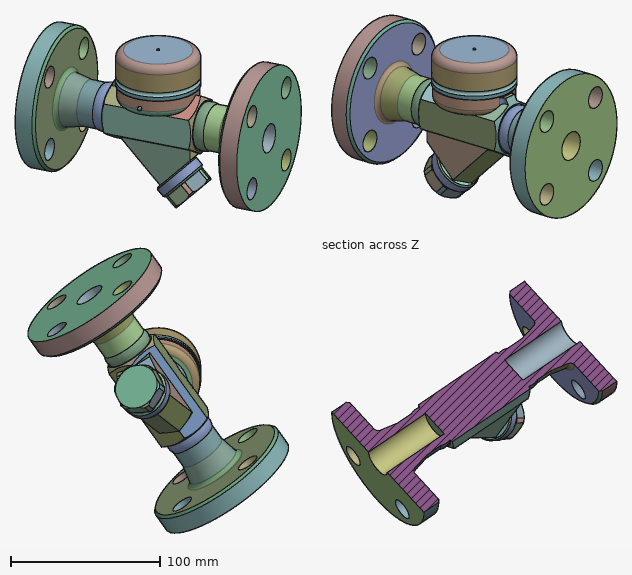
import cadquery as cq
import math

overall_length = 165.0
flange_dia = 100.0
flange_thickness = 14.4
flange_chamfer = 1.8
bolt_circle_dia = 74.9
bolt_hole_dia = 15.0
bolt_count = 4
pipe_dia = 32.0
bore_dia = 20.0

neck_fillet_dia = 43.5
neck_dia = 37.6
neck_fillet_length = 2.8
neck_cone_length = 12.4

collar_dia = 34.0
collar_length = 8.2
collar_end_x = 41.2

hex_sides = 6

block_flats = 37.0
block_length = 67.6
block_face_dia = 34.6
block_chamfer_angle = 30.0

cup_dia = 56.0
cup_round = 5.0
cup_round_top_z = 16.0
cup_foot_dia = 40.0
cup_foot_tip_z = 1.6
cup_foot_tip_dia = 29.2
ring_bottom_z = 24.0
ring_top_z = 26.9
cap_dia = 57.5
cap_bottom_z = 30.2
cap_groove_depth = 1.2
cap_round = 5.5
cap_top_z = 48.8

side_mark_dia = 3.0
side_mark_height = 17.5
side_mark_reach = 30.4
top_mark_dia = 2.0

tab_width = 9.5
tab_top_z = 22.8
tab_fillet = 3.0

slant_angle = math.radians(45.0)
slant_axis_offset = 17.7
boss_flats = 26.5
boss_start = -5.0
boss_end = 36.3
boss_outer_x = 30.0
plug_collar_dia = 34.0
plug_collar_length = 7.3
plug_entry_chamfer = 1.0
plug_relief_length = 1.5
plug_relief_dia = 31.0
plug_hex_flats = 30.0
plug_hex_corner_dia = 33.0
plug_hex_length = 9.9
plug_end_chamfer = 1.3

half_length = overall_length / 2
block_corner_dia = block_flats / math.cos(math.pi / hex_sides)
boss_corner_dia = boss_flats / math.cos(math.pi / hex_sides)
plug_hex_point_dia = plug_hex_flats / math.cos(math.pi / hex_sides)


def slant_point(along, across):
    """X and Z of a point given by its distances along the slant (down, to +X) and across it (up, to +X)."""
    cosine = math.cos(slant_angle)
    sine = math.sin(slant_angle)
    return along * cosine + across * sine, across * cosine - along * sine


def slanted_plane(distance):
    """Plane square to the slanted axis; its X lies in the XZ plane, its normal points down and to +X."""
    origin_x, origin_z = slant_point(distance, -slant_axis_offset)
    along_x, along_z = slant_point(1, 0)
    across_x, across_z = slant_point(0, 1)
    return cq.Plane(
        origin=(origin_x, 0, origin_z),
        xDir=(across_x, 0, across_z),
        normal=(along_x, 0, along_z),
    )


def make_block():
    """Hexagonal bar with the locking tab, both trimmed by the conical chamfer at each end."""
    bar = (
        cq.Workplane("YZ")
        .polygon(hex_sides, block_corner_dia)
        .extrude(block_length / 2, both=True)
        .rotate((0, 0, 0), (1, 0, 0), 90)
    )
    tab = cq.Workplane("XY").box(block_length / 2, tab_width, tab_top_z, centered=(False, True, False))
    tab = tab.translate((-block_length / 2, 0, 0))

    face_radius = block_face_dia / 2
    chamfer_rise = tab_top_z
    chamfer_run = chamfer_rise * math.tan(math.radians(block_chamfer_angle))
    chamfer_envelope = (
        cq.Workplane("XY")
        .moveTo(-block_length / 2, 0)
        .lineTo(-block_length / 2, face_radius)
        .lineTo(-block_length / 2 + chamfer_run, face_radius + chamfer_rise)
        .lineTo(block_length / 2 - chamfer_run, face_radius + chamfer_rise)
        .lineTo(block_length / 2, face_radius)
        .lineTo(block_length / 2, 0)
        .close()
        .revolve(360, (0, 0, 0), (1, 0, 0))
    )
    return bar.union(tab).intersect(chamfer_envelope)


def make_chamber():
    """Round chamber with its cap, revolved about Z."""
    cup_radius = cup_dia / 2
    cap_radius = cap_dia / 2
    cup_bottom_z = cup_round_top_z - cup_round
    diagonal = math.sqrt(0.5)
    profile = (
        cq.Workplane("XZ")
        .moveTo(0, cup_foot_tip_z)
        .lineTo(cup_foot_tip_dia / 2, cup_foot_tip_z)
        .lineTo(cup_foot_dia / 2, cup_bottom_z)
        .lineTo(cup_radius - cup_round, cup_bottom_z)
        .threePointArc(
            (cup_radius - cup_round * (1 - diagonal), cup_round_top_z - cup_round * diagonal),
            (cup_radius, cup_round_top_z),
        )
        .lineTo(cup_radius, ring_bottom_z)
        .lineTo(cap_radius, ring_bottom_z)
        .lineTo(cap_radius, ring_top_z)
        .threePointArc(
            (cap_radius - cap_groove_depth, (ring_top_z + cap_bottom_z) / 2),
            (cap_radius, cap_bottom_z),
        )
        .lineTo(cap_radius, cap_top_z - cap_round)
        .threePointArc(
            (cap_radius - cap_round * (1 - diagonal), cap_top_z - cap_round * (1 - diagonal)),
            (cap_radius - cap_round, cap_top_z),
        )
        .lineTo(0, cap_top_z)
        .close()
    )
    return profile.revolve(360, (0, 0, 0), (0, 1, 0))


def fillet_tab(valve):
    """Round the two upright corners where the tab runs into the chamber."""
    corner_margin = 1.6
    corner_x = -math.sqrt((cup_dia / 2) ** 2 - (tab_width / 2) ** 2)
    corners = cq.selectors.BoxSelector(
        (corner_x - corner_margin, -tab_width / 2 - corner_margin, cup_round_top_z),
        (corner_x + corner_margin, tab_width / 2 + corner_margin, tab_top_z),
    )
    return valve.edges("|Z").edges(corners).fillet(tab_fillet)


def make_marks():
    """Small domes: one on top of the cap, one on the -Y side of the chamber."""
    side_centre_y = side_mark_dia / 2 - side_mark_reach
    top_mark = cq.Workplane("XY").sphere(top_mark_dia / 2).translate((0, 0, cap_top_z))
    side_mark = cq.Workplane("XY").sphere(side_mark_dia / 2).translate((0, side_centre_y, side_mark_height))
    return top_mark.union(side_mark)


def make_boss():
    """Slanted hexagonal boss, widened up into the block and cut upright at boss_outer_x."""
    boss = (
        cq.Workplane(slanted_plane(boss_start))
        .polygon(hex_sides, boss_corner_dia)
        .extrude(boss_end - boss_start)
    )
    outer_corner_z = (boss_outer_x * math.cos(slant_angle) - boss_end) / math.sin(slant_angle)
    web = (
        cq.Workplane("XZ")
        .moveTo(*slant_point(0, -slant_axis_offset))
        .lineTo(*slant_point(boss_end, -slant_axis_offset))
        .lineTo(boss_outer_x, outer_corner_z)
        .lineTo(boss_outer_x, 0)
        .lineTo(0, 0)
        .close()
        .extrude(boss_flats / 2, both=True)
    )
    return boss.union(web)


def make_pipe_end():
    """Flange, neck, pipe and collar of the +X end, revolved about X."""
    flange_inner_x = half_length - flange_thickness
    cone_end_x = flange_inner_x - neck_fillet_length
    cone_start_x = cone_end_x - neck_cone_length
    collar_start_x = collar_end_x - collar_length
    flange_radius = flange_dia / 2
    return (
        cq.Workplane("XY")
        .moveTo(0, 0)
        .lineTo(0, pipe_dia / 2)
        .lineTo(collar_start_x, pipe_dia / 2)
        .threePointArc(
            ((collar_start_x + collar_end_x) / 2, collar_dia / 2),
            (collar_end_x, pipe_dia / 2),
        )
        .lineTo(cone_start_x, pipe_dia / 2)
        .lineTo(cone_end_x, neck_dia / 2)
        .tangentArcPoint((flange_inner_x, neck_fillet_dia / 2), relative=False)
        .lineTo(flange_inner_x, flange_radius - flange_chamfer)
        .lineTo(flange_inner_x + flange_chamfer, flange_radius)
        .lineTo(half_length, flange_radius)
        .lineTo(half_length, 0)
        .close()
        .revolve(360, (0, 0, 0), (1, 0, 0))
    )


def cut_end_holes(valve):
    """Bolt holes through both flanges and a blind bore from each flange to the block."""
    bore_depth = half_length - block_length / 2
    for side in (-1, 1):
        face = cq.Workplane("YZ").workplane(offset=side * half_length)
        bolt_holes = (
            face.polarArray(bolt_circle_dia / 2, 180 / bolt_count, 360, bolt_count)
            .circle(bolt_hole_dia / 2)
            .extrude(-side * flange_thickness)
        )
        bore = face.circle(bore_dia / 2).extrude(-side * bore_depth)
        valve = valve.cut(bolt_holes).cut(bore)
    return valve


def make_valve():
    """Block, chamber, boss and both flanged pipe ends as one casting."""
    valve = make_block().union(make_chamber())
    valve = fillet_tab(valve)
    valve = valve.union(make_marks()).union(make_boss())
    pipe_end = make_pipe_end()
    valve = valve.union(pipe_end).union(pipe_end.mirror("YZ"))
    return cut_end_holes(valve)


def make_plug():
    """Screwed plug seated on the boss: a round collar, then a hexagon with its corners turned down."""
    collar_radius = plug_collar_dia / 2
    corner_radius = plug_hex_corner_dia / 2
    relief_end = plug_collar_length + plug_relief_length
    collar = (
        cq.Workplane("XZ")
        .lineTo(collar_radius - plug_entry_chamfer, 0)
        .lineTo(collar_radius, plug_entry_chamfer)
        .lineTo(collar_radius, plug_collar_length)
        .lineTo(plug_relief_dia / 2, relief_end)
        .lineTo(0, relief_end)
        .close()
        .revolve(360, (0, 0, 0), (0, 1, 0))
    )
    turned_corners = (
        cq.Workplane("XY")
        .workplane(offset=relief_end)
        .circle(corner_radius)
        .extrude(plug_hex_length)
        .faces(">Z")
        .chamfer(plug_end_chamfer)
    )
    hexagon = (
        cq.Workplane("XY")
        .workplane(offset=relief_end)
        .polygon(hex_sides, plug_hex_point_dia)
        .extrude(plug_hex_length)
        .intersect(turned_corners)
    )
    plug = collar.union(hexagon)
    return cq.Workplane(plug.val().located(cq.Location(slanted_plane(boss_end))))


valve = make_valve()
plug = make_plug()

result = cq.Compound.makeCompound([valve.solids().val(), plug.solids().val()])